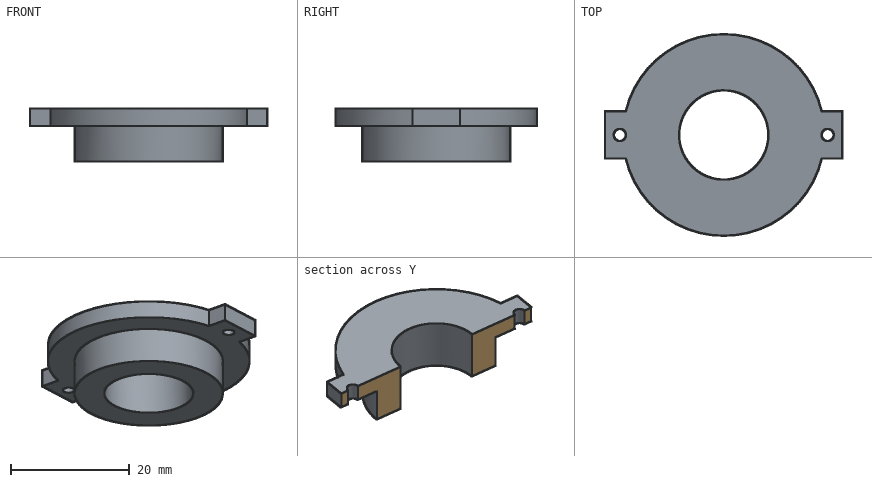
import cadquery as cq

overall_length = 40.0
flange_diameter = 34.0
flange_thickness = 3.0
hub_diameter = 25.0
hub_height = 6.0
bore_diameter = 15.0
ear_width = 8.0
ear_hole_diameter = 2.0
ear_hole_spacing = 35.0

total_height = hub_height + flange_thickness

hub = cq.Workplane("XY").circle(hub_diameter / 2).extrude(hub_height)

flange_plane = cq.Workplane("XY").workplane(offset=hub_height)
flange = flange_plane.circle(flange_diameter / 2).extrude(flange_thickness)
ears = flange_plane.rect(overall_length, ear_width).extrude(flange_thickness)

bore = cq.Workplane("XY").circle(bore_diameter / 2).extrude(total_height)
ear_holes = (
    cq.Workplane("XY")
    .pushPoints([(side * ear_hole_spacing / 2, 0) for side in (-1, 1)])
    .circle(ear_hole_diameter / 2)
    .extrude(total_height)
)

result = hub.union(flange).union(ears).cut(bore).cut(ear_holes)